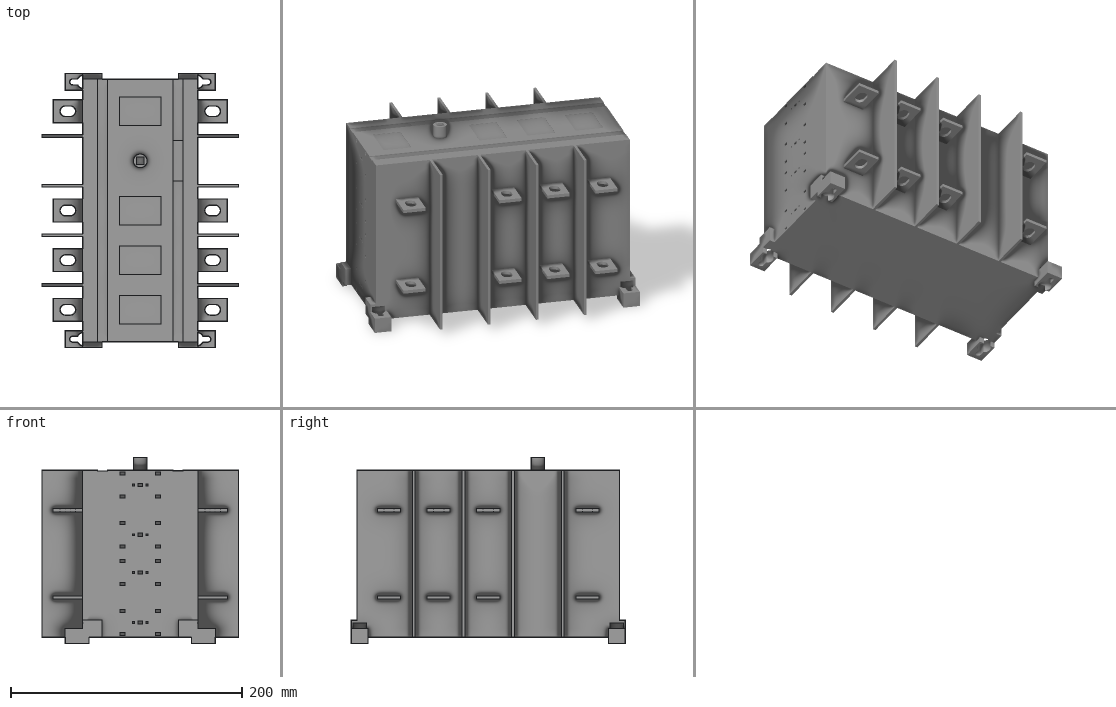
import cadquery as cq


body_width = 99.5
body_length = 227.0
body_height = 144.5

pole_pitch = 43.0
pole_places = (2, 0, -1, -2)
shaft_place = 1
barrier_places = (1.5, 0.5, -0.5, -1.5)

barrier_span = 170.0
barrier_thickness = 2.4

terminal_span = 150.7
terminal_width = 20.0
terminal_thickness = 2.8
terminal_levels = (34.4, 109.7)
slot_length = 13.3
slot_width = 9.0
slot_offset = 62.5

shaft_diameter = 11.8
shaft_height = 11.0
socket_size = 6.5
socket_depth = 7.0

groove_offset = 32.7
groove_width = 8.8
groove_depth = 0.7
pad_length = 35.0
pad_height = 0.2
label_width = 36.3
label_length = 24.6
label_depth = 0.2

cluster_half_gap_inner = 16.4
cluster_half_gap_outer = 59.5
latch_offset = 15.2
latch_rise = 10.0
latch_width = 4.3
latch_height = 2.5
pin_offset = 6.0
pin_size = 1.7
latch_depth = 3.5

overall_length = 237.0
foot_outer = 65.0
foot_inner = 44.0
foot_length = 14.7
foot_top = 7.8
foot_drop = 5.5
plate_inner = 33.0
plate_height = 15.0

keyhole_bore_diameter = 11.5
keyhole_bore_offset = 48.8
keyhole_bore_top = 12.5
keyhole_neck_width = 5.0
keyhole_neck_end = 61.0


def box(x_range, y_range, z_range):
    """Block spanning the given low and high limits along each axis."""
    limits = (x_range, y_range, z_range)
    size = [high - low for low, high in limits]
    corner = tuple(low for low, high in limits)
    return cq.Workplane("XY").box(*size, centered=False).translate(corner)


def centred_box(center, size):
    return cq.Workplane("XY").box(*size).translate(center)


def mirrored_to_corners(shape):
    """The shape together with its mirror images in the X and Y mid-planes."""
    pair = shape.union(shape.mirror("YZ"))
    return pair.union(pair.mirror("XZ"))


def barriers():
    size = (barrier_span, barrier_thickness, body_height)
    plates = cq.Workplane("XY")
    for place in barrier_places:
        plates = plates.union(centred_box((0, place * pole_pitch, body_height / 2), size))
    return plates


def terminals():
    """Flat bars through the housing, slotted at both ends."""
    size = (terminal_span, terminal_width, terminal_thickness)
    slot_points = [(-slot_offset, 0), (slot_offset, 0)]
    bar = cq.Workplane("XY").box(*size)
    bar = bar.faces(">Z").workplane().pushPoints(slot_points).slot2D(slot_length, slot_width).cutThruAll()
    bars = cq.Workplane("XY")
    for place in pole_places:
        for level in terminal_levels:
            bars = bars.union(bar.translate((0, place * pole_pitch, level)))
    return bars


def shaft():
    """Round shaft with a square socket in its end."""
    post = cq.Workplane("XY").circle(shaft_diameter / 2).extrude(shaft_height)
    post = post.faces(">Z").workplane().rect(socket_size, socket_size).cutBlind(-socket_depth)
    return post.translate((0, shaft_place * pole_pitch, body_height))


def top_recesses():
    groove_size = (groove_width, body_length, 2 * groove_depth)
    label_size = (label_width, label_length, 2 * label_depth)
    recesses = cq.Workplane("XY")
    for side in (-1, 1):
        recesses = recesses.union(centred_box((side * groove_offset, 0, body_height), groove_size))
    for place in pole_places:
        recesses = recesses.union(centred_box((0, place * pole_pitch, body_height), label_size))
    return recesses


def groove_pad():
    """Thin pad on the floor of the +X groove, level with the shaft."""
    center = (groove_offset, shaft_place * pole_pitch, body_height - groove_depth + pad_height / 2)
    return centred_box(center, (groove_width, pad_length, pad_height))


def latch_pockets():
    """Four clusters of small rectangular pockets in each end face."""
    latch_points = []
    pin_points = []
    for half_gap in (cluster_half_gap_inner, cluster_half_gap_outer):
        for direction in (-1, 1):
            level = body_height / 2 + direction * half_gap
            latch_points.append((0, level))
            latch_points += [
                (x, level + rise)
                for x in (-latch_offset, latch_offset)
                for rise in (-latch_rise, latch_rise)
            ]
            pin_points += [(-pin_offset, level), (pin_offset, level)]
    end_plane = cq.Workplane("XZ", origin=(0, -body_length / 2, 0))
    latches = end_plane.pushPoints(latch_points).rect(latch_width, latch_height).extrude(-latch_depth)
    pins = end_plane.pushPoints(pin_points).rect(pin_size, pin_size).extrude(-latch_depth)
    pockets = latches.union(pins)
    return pockets.union(pockets.mirror("XZ"))


def feet():
    """Corner feet: a block beside and below the housing, and a plate against its end face."""
    y_end = overall_length / 2
    block = box((foot_inner, foot_outer), (y_end - foot_length, y_end), (-foot_drop, 0))
    shoulder = box((body_width / 2, foot_outer), (y_end - foot_length, y_end), (0, foot_top))
    plate = box((plate_inner, body_width / 2), (body_length / 2, y_end), (0, plate_height))
    return mirrored_to_corners(block.union(shoulder).union(plate))


def keyholes():
    """Keyhole cutters: a bore that also bites into the housing, with a narrow neck outwards."""
    y_center = (overall_length - foot_length) / 2
    neck_center = keyhole_neck_end - keyhole_neck_width / 2
    depth = foot_drop + keyhole_bore_top
    base = cq.Workplane("XY", origin=(0, y_center, -foot_drop))
    bore = base.center(keyhole_bore_offset, 0).circle(keyhole_bore_diameter / 2).extrude(depth)
    neck_end = base.center(neck_center, 0).circle(keyhole_neck_width / 2).extrude(depth)
    neck = box(
        (keyhole_bore_offset, neck_center),
        (y_center - keyhole_neck_width / 2, y_center + keyhole_neck_width / 2),
        (-foot_drop, keyhole_bore_top),
    )
    return mirrored_to_corners(bore.union(neck).union(neck_end))


housing = cq.Workplane("XY").box(body_width, body_length, body_height, centered=(True, True, False))
result = housing.union(barriers()).union(terminals()).union(feet())
result = result.cut(keyholes()).cut(latch_pockets()).cut(top_recesses())
result = result.union(groove_pad()).union(shaft())